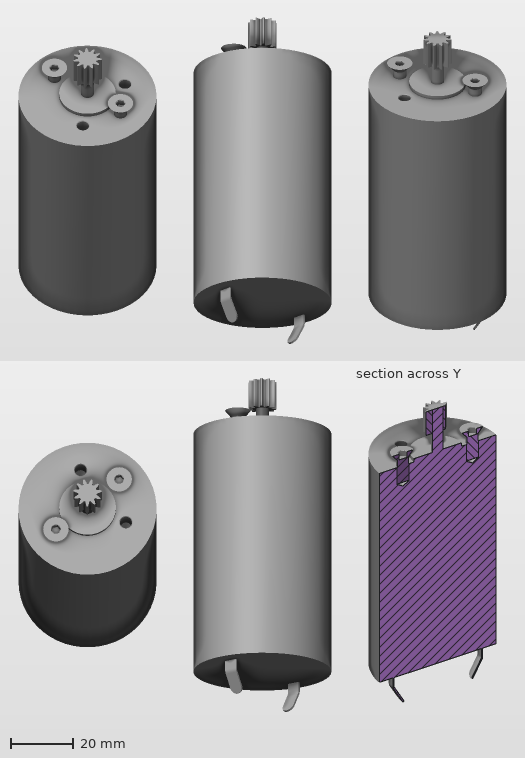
import cadquery as cq
import math


can_radius = 22.1
can_height = 79.0
boss_radius = 9.1
boss_height = 1.3

shaft_radius = 2.1
shaft_top = 17.4
pinion_length = 9.1
tooth_count = 11
root_radius = 3.0
pitch_radius = 3.8
tip_radius = 4.6
tooth_shoulder_radius = 4.4
shoulder_half_width = 0.27
pitch_half_width = 0.45
root_half_width = 0.59

hole_circle_radius = 13.1
shank_radius = 2.1
open_hole_rim_radius = 2.1
open_hole_chamfer = 0.2
open_hole_radius = open_hole_rim_radius - open_hole_chamfer
hole_depth = 6.4
drill_point_angle = 118.0
open_hole_angles = (60, -60)
screw_angles = (0, 180)
screw_head_radius = 4.1
screw_head_height = 2.2
screw_head_top = 4.8
socket_across_corners = 3.1
socket_turn = 30.0
socket_rim_radius = 1.6
socket_lead_in = 0.2
socket_depth = 2.1

tab_width = 4.3
tab_thickness = 0.6
tab_outer_x = 17.1
tab_drop = 10.4
tab_straight_length = 3.0
tab_bend_angle = math.radians(30)
tab_bend_radius = 2.3
tab_tip_radius = tab_width / 2


def polar_point(radius, degrees):
    angle = math.radians(degrees)
    return (radius * math.cos(angle), radius * math.sin(angle))


def cylinder(radius, bottom, top):
    return cq.Workplane("XY").workplane(offset=bottom).circle(radius).extrude(top - bottom)


def make_drilled_hole(degrees, hole_radius):
    """Blind hole with a conical drill point, opening on the front face."""
    point_depth = hole_radius / math.tan(math.radians(drill_point_angle / 2))
    profile = [
        (0, 0),
        (hole_radius, 0),
        (hole_radius, -hole_depth),
        (0, -hole_depth - point_depth),
    ]
    x, y = polar_point(hole_circle_radius, degrees)
    hole = cq.Workplane("XZ").polyline(profile).close().revolve(360, (0, 0, 0), (0, 1, 0))
    return hole.translate((x, y, 0))


def make_rim_chamfer(degrees):
    """Conical cutter that chamfers the rim of an open hole."""
    x, y = polar_point(hole_circle_radius, degrees)
    rim = cq.Solid.makeCone(
        open_hole_radius,
        open_hole_rim_radius,
        open_hole_chamfer,
        cq.Vector(x, y, -open_hole_chamfer),
    )
    return cq.Workplane(rim)


def make_solder_tab():
    """Strip on the +X side that leaves the can straight, bends inward and ends round."""
    sin_bend = math.sin(tab_bend_angle)
    cos_bend = math.cos(tab_bend_angle)
    inner_bend_radius = tab_bend_radius - tab_thickness
    bend_center_x = tab_outer_x - tab_bend_radius
    bend_z = -can_height - tab_straight_length

    def bend_point(radius, angle):
        return (bend_center_x + radius * math.cos(angle), bend_z - radius * math.sin(angle))

    outer_bend_end = bend_point(tab_bend_radius, tab_bend_angle)
    inner_bend_end = bend_point(inner_bend_radius, tab_bend_angle)
    leg_length = (tab_drop + can_height + outer_bend_end[1]) / cos_bend

    def leg_end(start):
        return (start[0] - leg_length * sin_bend, start[1] - leg_length * cos_bend)

    tab = (
        cq.Workplane("XZ")
        .moveTo(tab_outer_x, -can_height)
        .lineTo(tab_outer_x, bend_z)
        .threePointArc(bend_point(tab_bend_radius, tab_bend_angle / 2), outer_bend_end)
        .lineTo(*leg_end(outer_bend_end))
        .lineTo(*leg_end(inner_bend_end))
        .lineTo(*inner_bend_end)
        .threePointArc(
            bend_point(inner_bend_radius, tab_bend_angle / 2),
            (tab_outer_x - tab_thickness, bend_z),
        )
        .lineTo(tab_outer_x - tab_thickness, -can_height)
        .close()
        .extrude(tab_width / 2, both=True)
    )

    end_x, end_z = leg_end(outer_bend_end)
    leg_plane = cq.Plane(origin=(end_x, 0, end_z), xDir=(0, 1, 0), normal=(cos_bend, 0, -sin_bend))
    square_end = (
        cq.Workplane(leg_plane)
        .rect(tab_width, 2 * tab_tip_radius)
        .extrude(tab_thickness, both=True)
    )
    round_end = (
        cq.Workplane(leg_plane)
        .center(0, tab_tip_radius)
        .circle(tab_tip_radius)
        .extrude(tab_thickness, both=True)
    )
    return tab.cut(square_end.cut(round_end))


def make_motor():
    """Can with boss, shaft, mounting holes and solder tabs."""
    motor = cylinder(can_radius, -can_height, 0)
    motor = motor.union(cylinder(boss_radius, 0, boss_height))
    motor = motor.union(cylinder(shaft_radius, boss_height, shaft_top))
    for degrees in screw_angles:
        motor = motor.cut(make_drilled_hole(degrees, shank_radius))
    for degrees in open_hole_angles:
        motor = motor.cut(make_drilled_hole(degrees, open_hole_radius))
        motor = motor.cut(make_rim_chamfer(degrees))
    tab = make_solder_tab()
    motor = motor.union(tab)
    return motor.union(tab.mirror("YZ"))


def make_pinion():
    """Toothed ring fitted on the end of the shaft."""
    bottom = shaft_top - pinion_length
    root_x = math.sqrt(root_radius**2 - root_half_width**2)
    shoulder_start = (tooth_shoulder_radius, -shoulder_half_width)
    shoulder_end = (tooth_shoulder_radius, shoulder_half_width)
    tooth = (
        cq.Workplane("XY")
        .workplane(offset=bottom)
        .moveTo(0, 0)
        .lineTo(root_x, -root_half_width)
        .threePointArc((pitch_radius, -pitch_half_width), shoulder_start)
        .threePointArc((tip_radius, 0), shoulder_end)
        .threePointArc((pitch_radius, pitch_half_width), (root_x, root_half_width))
        .close()
        .extrude(pinion_length)
    )
    pinion = cylinder(root_radius, bottom, shaft_top)
    for index in range(tooth_count):
        degrees = index * 360 / tooth_count
        pinion = pinion.union(tooth.rotate((0, 0, 0), (0, 0, 1), degrees))
    return pinion.cut(cylinder(shaft_radius, bottom, shaft_top))


def make_screw(degrees):
    """Countersunk socket screw whose shank fills the straight part of its hole."""
    head_bottom = screw_head_top - screw_head_height
    profile = [
        (0, -hole_depth),
        (shank_radius, -hole_depth),
        (shank_radius, head_bottom),
        (screw_head_radius, screw_head_top),
        (0, screw_head_top),
    ]
    screw = cq.Workplane("XZ").polyline(profile).close().revolve(360, (0, 0, 0), (0, 1, 0))
    socket = (
        cq.Workplane("XY")
        .workplane(offset=screw_head_top)
        .polygon(6, socket_across_corners)
        .extrude(-socket_depth)
        .rotate((0, 0, 0), (0, 0, 1), socket_turn)
    )
    lead_in = cq.Solid.makeCone(
        socket_rim_radius - socket_lead_in,
        socket_rim_radius,
        socket_lead_in,
        cq.Vector(0, 0, screw_head_top - socket_lead_in),
    )
    x, y = polar_point(hole_circle_radius, degrees)
    return screw.cut(socket).cut(cq.Workplane(lead_in)).translate((x, y, 0))


motor = make_motor()
pinion = make_pinion()
screws = [make_screw(degrees) for degrees in screw_angles]

result = cq.Compound.makeCompound([motor.val(), pinion.val(), *[screw.val() for screw in screws]])